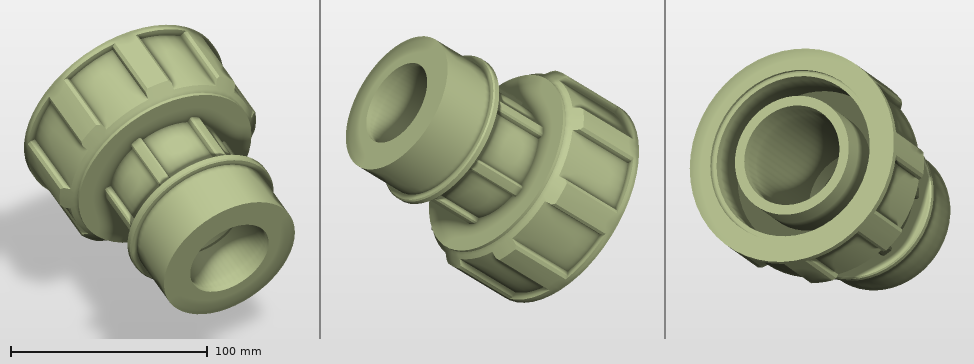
import cadquery as cq
import math

total_length = 116.0
overlap = 0.6

nut_radius = 113.0 / 2
nut_length = 46.6
cone_start = 38.6
cone_end = 44.9
nose_radius = 99.4 / 2
mouth_radius = 90.4 / 2
mouth_depth = 1.7
cavity_radius = 84.8 / 2
cavity_depth = 28.9

grip_count = 8
grip_half_width = 14.7 / 2
grip_bevel = 1.4
recess_radius = 52.5
recess_start = 3.6

flange_start = 82.7
flange_end = 86.9
flange_radius = 82.7 / 2
flange_bevel = 0.7
spigot_radius = 75.4 / 2

tube_radius = 63.0 / 2
tube_start = 0.0
bore_start_radius = 52.7 / 2
bore_taper_start = flange_start
bore_taper_end = flange_end
bore_end_radius = 45.1 / 2

neck_rib_count = 6
neck_rib_radius = 34.8
neck_rib_half_width = 3.2
neck_rib_bevel = 0.87


def cylinder(radius, start, end):
    """Solid cylinder about the X axis between two X positions."""
    return cq.Workplane("YZ").workplane(offset=start).circle(radius).extrude(end - start)


def ribs(count, half_width, bevel, radius, start, end):
    """Radial bars under a round envelope, with bevelled edges, evenly spaced about X from +Y."""
    crown_half_width = half_width - bevel
    crown_height = math.sqrt(radius**2 - crown_half_width**2)
    half_section = [
        (0, half_width),
        (crown_height - bevel, half_width),
        (crown_height, crown_half_width),
        (radius + overlap, crown_half_width),
    ]
    section = half_section + [(height, -width) for height, width in reversed(half_section)]
    bar = cq.Workplane("YZ").workplane(offset=start).polyline(section).close().extrude(end - start)
    bars = bar
    for index in range(1, count):
        angle = index * 360 / count
        bars = bars.union(bar.rotate((0, 0, 0), (1, 0, 0), angle))
    return bars.intersect(cylinder(radius, start, end))


def nut_blank():
    """Solid nut with a conical shoulder and a short cylindrical nose."""
    outline = [
        (0, 0),
        (0, nut_radius),
        (cone_start, nut_radius),
        (cone_end, nose_radius),
        (nut_length, nose_radius),
        (nut_length, 0),
    ]
    return cq.Workplane("XY").polyline(outline).close().revolve(360, (0, 0, 0), (1, 0, 0))


def grip_recesses():
    """Ring outside the recess floor with the grip ribs taken out of it."""
    ring = cylinder(nut_radius, recess_start, nut_length)
    ring = ring.cut(cylinder(recess_radius, recess_start, nut_length))
    grips = ribs(grip_count, grip_half_width, grip_bevel, nut_radius, recess_start, nut_length)
    return ring.cut(grips)


def nut():
    body = nut_blank().cut(grip_recesses())
    body = body.cut(cylinder(mouth_radius, 0, mouth_depth))
    return body.cut(cylinder(cavity_radius, 0, cavity_depth))


def tube():
    body = cylinder(tube_radius, tube_start, total_length)
    neck_ribs = ribs(
        neck_rib_count, neck_rib_half_width, neck_rib_bevel, neck_rib_radius,
        nut_length - overlap, flange_start + overlap,
    )
    flange = cylinder(flange_radius, flange_start, flange_end).edges().chamfer(flange_bevel)
    spigot = cylinder(spigot_radius, flange_end - overlap, total_length)
    return body.union(neck_ribs).union(flange).union(spigot)


def bore():
    """Passage through the tube, stepping down over a short cone."""
    outline = [
        (tube_start, 0),
        (tube_start, bore_start_radius),
        (bore_taper_start, bore_start_radius),
        (bore_taper_end, bore_end_radius),
        (total_length, bore_end_radius),
        (total_length, 0),
    ]
    return cq.Workplane("XY").polyline(outline).close().revolve(360, (0, 0, 0), (1, 0, 0))


result = nut().union(tube()).cut(bore())